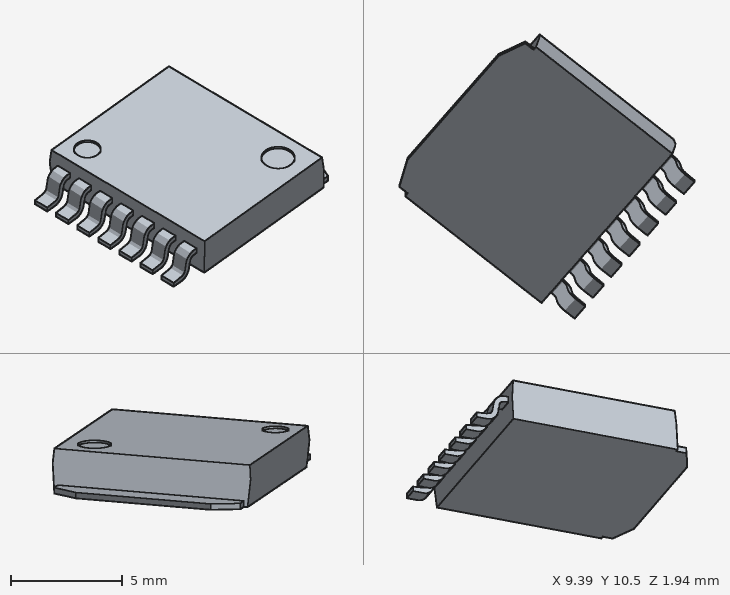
import cadquery as cq
import math

length = 10.54
width = 9.39
height = 1.94
lead_tip_y = -length / 2
tab_end_y = length / 2

standoff = 0.03
parting_z = 1.29
draft_angle = 5.0
front_y = -3.75
back_top_y = 4.09

lead_count = 7
lead_pitch = 1.28
lead_width = 0.75
lead_thickness = 0.27
lead_top_z = 1.31
lead_bend_start_y = -3.93
bend_radius = 0.39
leg_angle = 80.0
foot_angle = 5.0
lead_root_depth = 0.53

tab_thickness = 0.27
tab_width = 8.82
tab_end_width = 6.39
tab_shoulder_y = 4.73
tab_root_y = 3.16

recesses = [(3.19, 2.75, 1.5), (-3.5, -2.56, 1.2)]
recess_depth = 0.11


def body():
    """Drafted block: a side profile and a front profile, each extruded and intersected."""
    slope = math.tan(math.radians(draft_angle))
    band_bottom_z = lead_top_z - lead_thickness
    upper_inset = (height - lead_top_z) * slope

    side_profile = [
        (front_y + upper_inset, height),
        (front_y, lead_top_z),
        (front_y, band_bottom_z),
        (front_y + (band_bottom_z - standoff) * slope, standoff),
        (back_top_y + (height - standoff) * slope, standoff),
        (back_top_y, height),
    ]
    half_width = width / 2
    half_top = half_width - (height - parting_z) * slope
    half_bottom = half_width - (parting_z - standoff) * slope
    front_profile = [
        (-half_top, height),
        (-half_width, parting_z),
        (-half_bottom, standoff),
        (half_bottom, standoff),
        (half_width, parting_z),
        (half_top, height),
    ]
    along_x = cq.Workplane("YZ").polyline(side_profile).close().extrude(width / 2, both=True)
    along_y = cq.Workplane("XZ").polyline(front_profile).close().extrude(length / 2, both=True)
    return along_x.intersect(along_y)


def tab():
    """Flat tab at the back with its two outer corners cut off."""
    outline = [
        (-tab_width / 2, tab_root_y),
        (-tab_width / 2, tab_shoulder_y),
        (-tab_end_width / 2, tab_end_y),
        (tab_end_width / 2, tab_end_y),
        (tab_width / 2, tab_shoulder_y),
        (tab_width / 2, tab_root_y),
    ]
    plane = cq.Workplane("XY").workplane(offset=standoff)
    return plane.polyline(outline).close().extrude(tab_thickness)


def step(point, angle, distance):
    """Move towards -Y along a direction that dips below horizontal by the angle in degrees."""
    a = math.radians(angle)
    return (point[0] - distance * math.cos(a), point[1] - distance * math.sin(a))


def lead(x):
    """Gull-wing lead with a wedge-shaped foot, centred on x."""
    half = lead_thickness / 2
    root_y = front_y + lead_root_depth

    leg = math.radians(leg_angle)
    bend_drop = bend_radius * (1 - math.cos(leg))
    leg_drop = lead_top_z - lead_thickness - 2 * bend_drop
    leg_length = leg_drop / math.sin(leg)

    upper_centre = (lead_bend_start_y, lead_top_z - half - bend_radius)
    leg_start = step(upper_centre, leg_angle - 90, bend_radius)
    leg_end = step(leg_start, leg_angle, leg_length)
    lower_centre = step(leg_end, leg_angle - 90, bend_radius)

    def upper_bend(angle, offset):
        return step(upper_centre, angle - 90, bend_radius + offset)

    def lower_bend(angle, offset):
        return step(lower_centre, angle + 90, bend_radius - offset)

    foot_start = lower_bend(foot_angle, half)
    foot_fall = (foot_start[0] - lead_tip_y) * math.tan(math.radians(foot_angle))

    outline = (
        cq.Workplane("YZ", origin=(x, 0, 0))
        .moveTo(root_y, lead_top_z)
        .lineTo(*upper_bend(0, half))
        .threePointArc(upper_bend(leg_angle / 2, half), upper_bend(leg_angle, half))
        .lineTo(*lower_bend(leg_angle, half))
        .threePointArc(lower_bend((leg_angle + foot_angle) / 2, half), foot_start)
        .lineTo(lead_tip_y, foot_start[1] - foot_fall)
        .lineTo(lead_tip_y, 0)
        .lineTo(*lower_bend(0, -half))
        .threePointArc(lower_bend(leg_angle / 2, -half), lower_bend(leg_angle, -half))
        .lineTo(*upper_bend(leg_angle, -half))
        .threePointArc(upper_bend(leg_angle / 2, -half), upper_bend(0, -half))
        .lineTo(root_y, lead_top_z - lead_thickness)
        .close()
    )
    return outline.extrude(lead_width / 2, both=True)


result = body().union(tab())

for index in range(lead_count):
    lead_x = (index - (lead_count - 1) / 2) * lead_pitch
    result = result.union(lead(lead_x))

for recess_x, recess_y, diameter in recesses:
    recess_plane = cq.Workplane("XY", origin=(recess_x, recess_y, height))
    result = result.cut(recess_plane.circle(diameter / 2).extrude(-recess_depth))